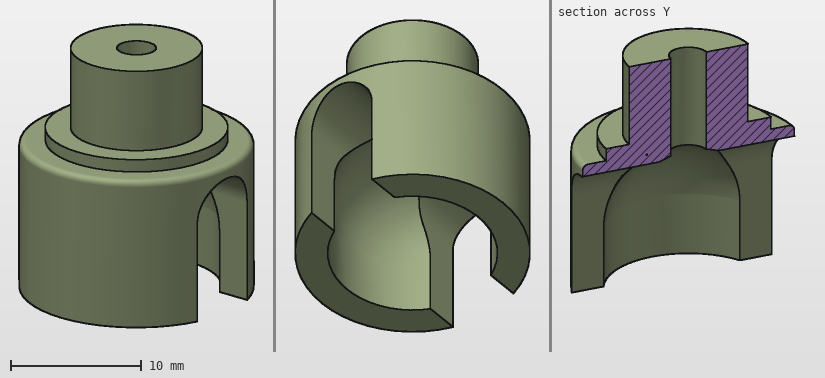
import cadquery as cq

cup_diameter = 18.0
cup_height = 12.0
cup_edge_radius = 0.5
cavity_diameter = 13.0
cavity_straight_depth = 5.0
collar_diameter = 14.0
collar_height = 1.0
stem_diameter = 10.1
stem_height = 6.5
bore_diameter = 3.0
slot_width = 6.0
slot_height = 11.0

slot_radius = slot_width / 2
slot_straight_height = slot_height - slot_radius
total_height = cup_height + collar_height + stem_height


def cylinder(diameter, height, base_z=0.0):
    """Upright cylinder on the Z axis, starting at base_z."""
    return cq.Workplane("XY").workplane(offset=base_z).circle(diameter / 2).extrude(height)


def make_body():
    """Cup with a rounded top edge, carrying the collar and the stem."""
    cup = cylinder(cup_diameter, cup_height).faces(">Z").edges().fillet(cup_edge_radius)
    collar = cylinder(collar_diameter, collar_height, cup_height)
    stem = cylinder(stem_diameter, stem_height, cup_height + collar_height)
    return cup.union(collar).union(stem)


def make_cavity():
    """Round cavity open at the bottom, closed by a hemispherical dome."""
    dome = cq.Workplane("XY").sphere(cavity_diameter / 2).translate((0, 0, cavity_straight_depth))
    return cylinder(cavity_diameter, cavity_straight_depth).union(dome)


def make_slot():
    """Round-topped slot open at the bottom, running along X through both cup walls."""
    return (
        cq.Workplane("YZ")
        .moveTo(-slot_radius, 0)
        .lineTo(-slot_radius, slot_straight_height)
        .threePointArc((0, slot_height), (slot_radius, slot_straight_height))
        .lineTo(slot_radius, 0)
        .close()
        .extrude(cup_diameter / 2, both=True)
    )


bore = cylinder(bore_diameter, total_height)

result = make_body().cut(make_cavity()).cut(make_slot()).cut(bore)